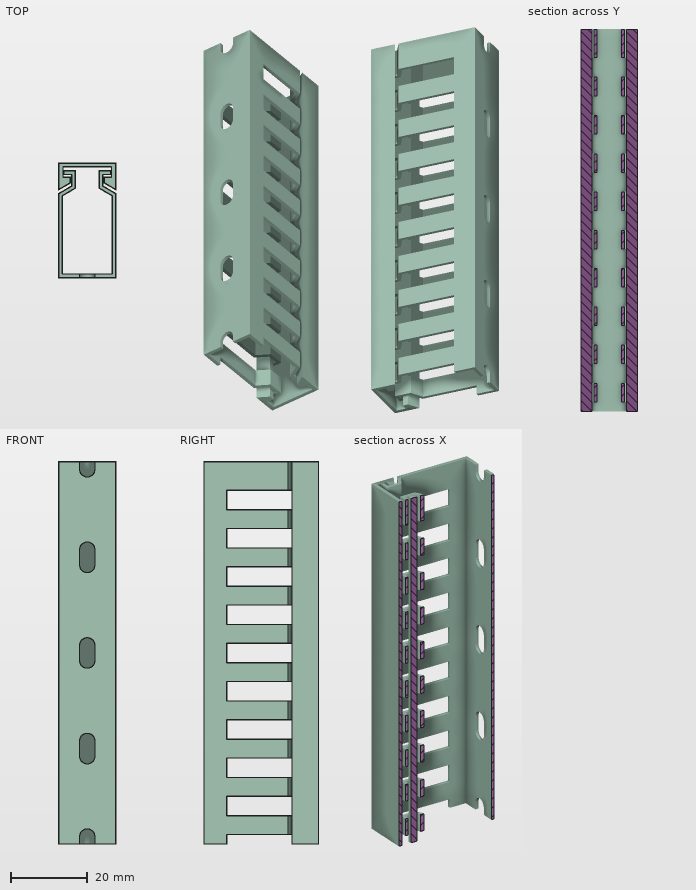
import cadquery as cq
import math


LENGTH = 100.0
WIDTH = 15.0
DEPTH = 30.0
HALF_WIDTH = WIDTH / 2

TRAY_WALL = 1.0
SHOULDER_Y = 22.0
NECK_RISE = 2.0
NECK_OUTER_X = 4.1
HOOK_TOP_Y = 28.0
HOOK_REACH = 2.0

COVER_TOP = 1.0
COVER_SIDE = 1.2
LIP_RISE = 1.0
LIP_TOP_Y = 26.3
LIP_NECK_GAP = 0.3

WINDOW_HEIGHT = 5.0
WINDOW_PITCH = 10.0
WINDOW_COUNT = 10
WINDOW_FLOOR_Y = 6.0

SLOT_WIDTH = 4.0
SLOT_LENGTH = 8.0
SLOT_PITCH = 25.0
SLOT_COUNT = 5

TRAY_INNER_X = HALF_WIDTH - TRAY_WALL
NECK_INNER_X = NECK_OUTER_X - TRAY_WALL
NECK_Y = SHOULDER_Y + NECK_RISE
HOOK_TIP_X = NECK_OUTER_X + HOOK_REACH
HOOK_BOTTOM_Y = HOOK_TOP_Y - TRAY_WALL
LEAN_RUN = HALF_WIDTH - NECK_OUTER_X
LEAN_ANGLE = math.atan2(LEAN_RUN, NECK_RISE)
LEAN_DROP = TRAY_WALL * math.tan(LEAN_ANGLE / 2)

COVER_INNER_X = HALF_WIDTH - COVER_SIDE
LIP_TIP_X = NECK_OUTER_X + LIP_NECK_GAP
LIP_BOTTOM_Y = SHOULDER_Y + LIP_RISE
LIP_TIP_Y = LIP_BOTTOM_Y + (HALF_WIDTH - LIP_TIP_X) * NECK_RISE / LEAN_RUN


def symmetric_extrusion(right_half):
    """Extrude an outline given by its +X half, mirrored about X = 0, along the duct."""
    left_half = [(-x, y) for x, y in reversed(right_half)]
    return cq.Workplane("XY").polyline(right_half + left_half).close().extrude(LENGTH)


def tray_shell():
    return symmetric_extrusion([
        (HALF_WIDTH, 0),
        (HALF_WIDTH, SHOULDER_Y),
        (NECK_OUTER_X, NECK_Y),
        (NECK_OUTER_X, HOOK_BOTTOM_Y),
        (HOOK_TIP_X, HOOK_BOTTOM_Y),
        (HOOK_TIP_X, HOOK_TOP_Y),
        (NECK_INNER_X, HOOK_TOP_Y),
        (NECK_INNER_X, NECK_Y - LEAN_DROP),
        (TRAY_INNER_X, SHOULDER_Y - LEAN_DROP),
        (TRAY_INNER_X, TRAY_WALL),
    ])


def side_windows():
    """Boxes that cut both side walls into fingers, open toward the cover."""
    centres = [(0, WINDOW_FLOOR_Y, WINDOW_PITCH * i) for i in range(WINDOW_COUNT)]
    window = cq.Workplane("XY").box(
        WIDTH, DEPTH - WINDOW_FLOOR_Y, WINDOW_HEIGHT, centered=(True, False, True)
    ).val()
    return cq.Workplane("XY").pushPoints(centres).eachpoint(lambda place: window.moved(place))


def base_slots():
    """Rounded mounting slots through the base, running along the duct."""
    centres = [(0, SLOT_PITCH * i) for i in range(SLOT_COUNT)]
    return (
        cq.Workplane("XZ")
        .pushPoints(centres)
        .slot2D(SLOT_LENGTH, SLOT_WIDTH, 90)
        .extrude(-TRAY_WALL)
    )


def make_tray():
    return tray_shell().cut(side_windows()).cut(base_slots())


def make_cover():
    return symmetric_extrusion([
        (HALF_WIDTH, DEPTH),
        (HALF_WIDTH, LIP_BOTTOM_Y),
        (LIP_TIP_X, LIP_TIP_Y),
        (LIP_TIP_X, LIP_TOP_Y),
        (COVER_INNER_X, LIP_TOP_Y),
        (COVER_INNER_X, DEPTH - COVER_TOP),
    ])


tray = make_tray()
cover = make_cover()

result = cq.Compound.makeCompound([tray.solids().val(), cover.val()])